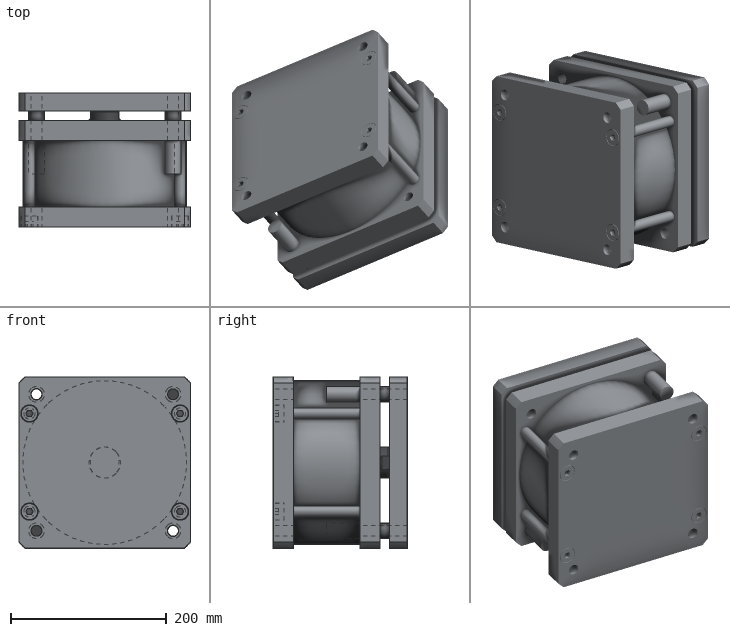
import cadquery as cq

plate_side = 220.0
plate_corner_diameter = 300.0
front_plate_thickness = 26.0
middle_plate_thickness = 26.0
back_plate_thickness = 23.0

housing_diameter = 210.0
housing_length = 85.1

plate_gap = 11.9
hub_diameter = 40.0
hub_neck_diameter = 39.5
hub_neck_length = 1.5
hub_flat_distance = 18.0
hub_flat_length = 9.7

rod_diameter = 14.0
rod_x = 96.5
rod_z = 63.0
counterbore_diameter = 22.0
counterbore_depth = 14.0
screw_head_diameter = 21.0
socket_across_corners = 9.2
socket_depth = 7.0

corner_offset = 87.5
corner_hole_diameter = 13.9
pin_diameter = 20.0
pin_reach = 42.7

overall_length = (front_plate_thickness + housing_length + middle_plate_thickness
                  + plate_gap + back_plate_thickness)
front_face = -overall_length / 2
housing_start = front_face + front_plate_thickness
housing_end = housing_start + housing_length
gap_start = housing_end + middle_plate_thickness
gap_end = gap_start + plate_gap

rod_centers = [(x, z) for x in (-rod_x, rod_x) for z in (-rod_z, rod_z)]
pin_centers = [(-corner_offset, -corner_offset), (corner_offset, corner_offset)]
spacer_centers = [(-corner_offset, corner_offset), (corner_offset, -corner_offset)]


def section(y):
    """Sketch plane at position y, facing the front, with local axes along X and Z."""
    return cq.Workplane(cq.Plane(origin=(0, y, 0), xDir=(1, 0, 0), normal=(0, -1, 0)))


def cylinders(diameter, y_start, y_end, centers):
    """Round bars along Y at the given (x, z) centers."""
    return section(y_end).pushPoints(centers).circle(diameter / 2).extrude(y_end - y_start)


def plate(y_start, thickness):
    """Square plate whose corners are trimmed by a large turned diameter."""
    y_end = y_start + thickness
    square = section(y_end).rect(plate_side, plate_side).extrude(thickness)
    return square.intersect(cylinders(plate_corner_diameter, y_start, y_end, [(0, 0)]))


def hub():
    """Round hub with a relieved end and two opposite flats that run out at 45 degrees."""
    flat_start = gap_end - hub_flat_length
    runout = hub_diameter / 2 - hub_flat_distance
    outer_x = hub_flat_distance + runout
    neck_start = gap_end - hub_neck_length
    body = cylinders(hub_diameter, gap_start, neck_start, [(0, 0)])
    body = body.union(cylinders(hub_neck_diameter, neck_start, gap_end, [(0, 0)]))
    flat_cut = (
        cq.Workplane("XY")
        .moveTo(hub_flat_distance, gap_end)
        .lineTo(hub_flat_distance, flat_start)
        .lineTo(outer_x, flat_start - runout)
        .lineTo(outer_x, gap_end)
        .close()
        .extrude(hub_diameter / 2, both=True)
    )
    return body.cut(flat_cut).cut(flat_cut.mirror("YZ"))


result = plate(front_face, front_plate_thickness)
result = result.union(cylinders(housing_diameter, housing_start, housing_end, [(0, 0)]))
result = result.union(plate(housing_end, middle_plate_thickness))
result = result.union(hub())
result = result.union(plate(gap_end, back_plate_thickness))

result = result.union(cylinders(rod_diameter, housing_start, housing_end, rod_centers))

counterbore_floor = front_face + counterbore_depth
result = result.cut(cylinders(counterbore_diameter, front_face, counterbore_floor, rod_centers))
result = result.union(cylinders(screw_head_diameter, front_face, counterbore_floor, rod_centers))
sockets = (
    section(front_face + socket_depth)
    .pushPoints(rod_centers)
    .polygon(6, socket_across_corners)
    .extrude(socket_depth)
)
result = result.cut(sockets)

result = result.union(cylinders(pin_diameter, gap_start, gap_end, spacer_centers))
result = result.union(cylinders(pin_diameter, housing_end - pin_reach, gap_end, pin_centers))

back_face = gap_end + back_plate_thickness
result = result.cut(cylinders(corner_hole_diameter, front_face, back_face, spacer_centers))
result = result.cut(cylinders(corner_hole_diameter, front_face, housing_start, pin_centers))